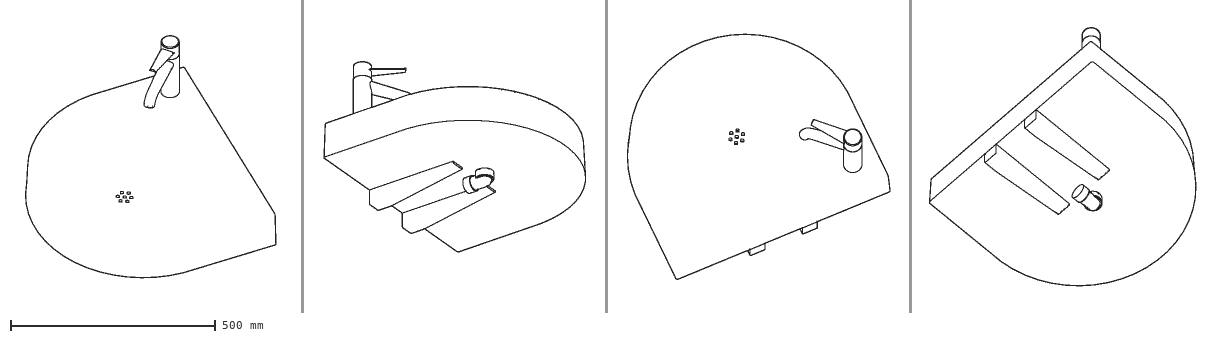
import cadquery as cq
import math


BASIN_WIDTH = 575.0
BASIN_DEPTH = 520.0
BASIN_HEIGHT = 100.0
STRAIGHT_SIDE = 248.5
SIDE_DRAFT = 3.0
EDGE_RADIUS = 5.0

BOWL_Y = -281.0
BOWL_DIAMETER = 409.5
RIM_RADIUS = 7.0
BOWL_DEPTH = 86.0
HOLE_DIAMETER = 8.0
HOLE_SPACING = 16.5
OUTER_HOLES = 6

CUP_DIAMETER = 45.5
CUP_HEIGHT = 20.0
CUP_CHAMFER = 2.0
PIPE_DIAMETER = 35.0
COLLAR_DIAMETER = 40.0
COLLAR_LENGTH = 20.0
COLLAR_END_Y = -230.0

BRACKET_X = 70.0
BRACKET_WIDTH = 40.0
BRACKET_HEIGHT = 40.0
BRACKET_LENGTH = 250.0
BRACKET_FOOT = 37.0
BRACKET_TIP = 5.0
BRACKET_EDGE_RADIUS = 3.5

TAP_X = -215.0
TAP_Y = -66.5
TAP_HEIGHT = 170.0
TAP_TURN = -47.0
COLUMN_DIAMETER = 46.0
CAP_DIAMETER = 45.0
CAP_HEIGHT = 40.0
CAP_CHAMFER = 2.5

SPOUT_AXIS_Z = 214.5
SPOUT_TILT = 13.0
SPOUT_REACH = 103.5
SPOUT_ROOT_DIAMETER = 33.5
SPOUT_TIP_DIAMETER = 26.5
BEND_RADIUS = 32.0
BEND_ANGLE = 59.0
OUTLET_DIAMETER = 20.0
OUTLET_LENGTH = 3.5

LEVER_START = 11.5
LEVER_END = 107.0
LEVER_ROOT_WIDTH = 35.5
LEVER_ROOT_THICKNESS = 10.0
LEVER_ROOT_Z = 250.0
LEVER_TIP_WIDTH = 16.0
LEVER_TIP_THICKNESS = 6.5

tap_top = BASIN_HEIGHT + TAP_HEIGHT


def make_basin():
    half_width = BASIN_WIDTH / 2
    overrun = 57.5
    outline = (
        cq.Workplane("XY")
        .moveTo(half_width, overrun)
        .lineTo(half_width, -STRAIGHT_SIDE)
        .threePointArc((0, -BASIN_DEPTH), (-half_width, -STRAIGHT_SIDE))
        .lineTo(-half_width, overrun)
        .close()
    )
    block = outline.extrude(BASIN_HEIGHT, taper=SIDE_DRAFT)

    behind_wall = cq.Workplane("XY").box(
        2 * BASIN_WIDTH, 2 * overrun, 2 * BASIN_HEIGHT, centered=(True, False, True)
    )
    basin = block.cut(behind_wall)
    basin = basin.faces(">Y").edges("not |X").fillet(EDGE_RADIUS)
    basin = basin.faces(">Z").edges().fillet(EDGE_RADIUS)

    rim_radius = BOWL_DIAMETER / 2
    sphere_radius = (rim_radius**2 + BOWL_DEPTH**2) / (2 * BOWL_DEPTH)
    sphere_z = BASIN_HEIGHT - BOWL_DEPTH + sphere_radius
    bowl = cq.Workplane("XZ").sphere(sphere_radius).translate((0, BOWL_Y, sphere_z))
    basin = basin.cut(bowl)
    rim = basin.faces(">Z").edges(cq.selectors.RadiusNthSelector(0))
    basin = rim.fillet(RIM_RADIUS)

    holes = (
        cq.Workplane("XY", origin=(0, BOWL_Y, 0))
        .circle(HOLE_DIAMETER / 2)
        .polarArray(HOLE_SPACING, 0, 360, OUTER_HOLES)
        .circle(HOLE_DIAMETER / 2)
        .extrude(BASIN_HEIGHT)
    )
    return basin.cut(holes)


def make_drain():
    cup = cq.Workplane("XY").center(0, BOWL_Y).circle(CUP_DIAMETER / 2).extrude(-CUP_HEIGHT)
    cup = cup.faces("<Z").edges().chamfer(CUP_CHAMFER)
    pipe_z = -COLLAR_DIAMETER / 2
    pipe_radius = PIPE_DIAMETER / 2
    collar_radius = COLLAR_DIAMETER / 2
    collar_front_y = COLLAR_END_Y - COLLAR_LENGTH
    round_offset = pipe_radius * math.sqrt(0.5)
    pipe = (
        cq.Workplane("XY", origin=(0, 0, pipe_z))
        .moveTo(0, COLLAR_END_Y)
        .lineTo(collar_radius, COLLAR_END_Y)
        .lineTo(collar_radius, collar_front_y)
        .lineTo(pipe_radius, collar_front_y)
        .lineTo(pipe_radius, BOWL_Y)
        .threePointArc((round_offset, BOWL_Y - round_offset), (0, BOWL_Y - pipe_radius))
        .close()
        .revolve(360, (0, 0, 0), (0, 1, 0))
    )
    return cup.union(pipe)


def make_bracket(x):
    profile = [
        (0, 0),
        (0, -BRACKET_HEIGHT),
        (-BRACKET_FOOT, -BRACKET_HEIGHT),
        (-BRACKET_LENGTH, -BRACKET_TIP),
        (-BRACKET_LENGTH, 0),
    ]
    bracket = cq.Workplane("YZ").polyline(profile).close().extrude(BRACKET_WIDTH / 2, both=True)
    lower_faces = bracket.faces("<Z or (not (|X or |Y or |Z))")
    bracket = lower_faces.edges("not |X").fillet(BRACKET_EDGE_RADIUS)
    return bracket.translate((x, 0, 0))


def place_tap_part(shape):
    """Turn a part built about the column axis, pointing along +X, and set it on the deck."""
    return shape.rotate((0, 0, 0), (0, 0, 1), TAP_TURN).translate((TAP_X, TAP_Y, 0))


def make_column():
    column_height = TAP_HEIGHT - CAP_HEIGHT
    column = (
        cq.Workplane("XY", origin=(0, 0, BASIN_HEIGHT))
        .circle(COLUMN_DIAMETER / 2)
        .extrude(column_height)
        .faces(">Z")
        .workplane()
        .circle(CAP_DIAMETER / 2)
        .extrude(CAP_HEIGHT)
        .faces(">Z")
        .edges()
        .chamfer(CAP_CHAMFER)
    )
    return place_tap_part(column)


def make_spout(column):
    tilt = math.radians(SPOUT_TILT)
    length = SPOUT_REACH / math.cos(tilt)
    root = cq.Plane(
        origin=(0, 0, SPOUT_AXIS_Z),
        xDir=(0, 1, 0),
        normal=(math.cos(tilt), 0, -math.sin(tilt)),
    )
    arm = (
        cq.Workplane(root)
        .circle(SPOUT_ROOT_DIAMETER / 2)
        .workplane(offset=length)
        .circle(SPOUT_TIP_DIAMETER / 2)
        .loft()
    )
    bend = (
        cq.Workplane(root)
        .workplane(offset=length)
        .circle(SPOUT_TIP_DIAMETER / 2)
        .revolve(BEND_ANGLE, (0, -BEND_RADIUS), (1, -BEND_RADIUS))
    )
    outlet = (
        bend.faces("<Z")
        .workplane(centerOption="CenterOfMass")
        .circle(SPOUT_TIP_DIAMETER / 2)
        .circle(OUTLET_DIAMETER / 2)
        .extrude(OUTLET_LENGTH, combine=False)
    )
    spout = arm.union(bend).union(outlet)
    return place_tap_part(spout).cut(column)


def make_lever(column):
    def section(x, width, thickness, bottom):
        plane = cq.Workplane("YZ", origin=(x, 0, bottom))
        return (
            plane.moveTo(-width / 2, 0)
            .threePointArc((0, thickness), (width / 2, 0))
            .close()
            .wires()
            .val()
        )

    root = section(LEVER_START, LEVER_ROOT_WIDTH, LEVER_ROOT_THICKNESS, LEVER_ROOT_Z)
    tip = section(
        LEVER_END, LEVER_TIP_WIDTH, LEVER_TIP_THICKNESS, tap_top - LEVER_TIP_THICKNESS
    )
    lever = cq.Workplane(cq.Solid.makeLoft([root, tip], True))
    return place_tap_part(lever).cut(column)


basin = make_basin()
drain = make_drain()
brackets = [make_bracket(x) for x in (-BRACKET_X, BRACKET_X)]
column = make_column()
spout = make_spout(column)
lever = make_lever(column)

result = cq.Compound.makeCompound(
    [
        basin.val(),
        drain.val(),
        *[bracket.val() for bracket in brackets],
        column.val(),
        spout.val(),
        lever.val(),
    ]
)